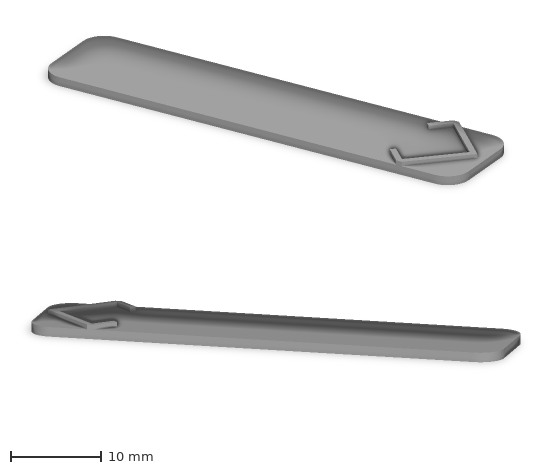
import cadquery as cq
import math

plate_length = 54.2
plate_width = 12.2
plate_thickness = 1.1
corner_radius = 2.7

rib_height = 0.55
rib_width = 0.7
tip_to_plate_end = 0.9
bracket_inner_half_width = 5.5
return_arm_length = 2.8


def make_plate():
    """Flat plate with rounded vertical corners, its base at Z = 0."""
    plate = cq.Workplane("XY").box(
        plate_length, plate_width, plate_thickness, centered=(True, True, False)
    )
    return plate.edges("|Z").fillet(corner_radius)


def make_bracket():
    """Rib at 45 degrees whose outer corners are cut flush with the plate sides."""
    diagonal_width = rib_width * math.sqrt(2)
    half_diagonal_width = diagonal_width / 2
    arm_reach = return_arm_length / math.sqrt(2)

    tip_x = plate_length / 2 - tip_to_plate_end
    inner_tip_x = tip_x - diagonal_width
    corner_x = inner_tip_x - bracket_inner_half_width
    outer_half_width = bracket_inner_half_width + diagonal_width
    arm_end_x = corner_x - arm_reach
    arm_end_y = bracket_inner_half_width - arm_reach

    upper_half = [
        (tip_x, 0),
        (corner_x, outer_half_width),
        (arm_end_x - half_diagonal_width, arm_end_y + half_diagonal_width),
        (arm_end_x, arm_end_y),
        (corner_x, bracket_inner_half_width),
        (inner_tip_x, 0),
    ]
    lower_half = [(x, -y) for x, y in reversed(upper_half[1:-1])]

    bracket = (
        cq.Workplane("XY")
        .workplane(offset=plate_thickness)
        .polyline(upper_half + lower_half)
        .close()
        .extrude(rib_height)
    )
    side_trim = cq.Workplane("XY").box(
        plate_length, plate_width, plate_thickness + rib_height, centered=(True, True, False)
    )
    return bracket.intersect(side_trim)


result = make_plate().union(make_bracket())